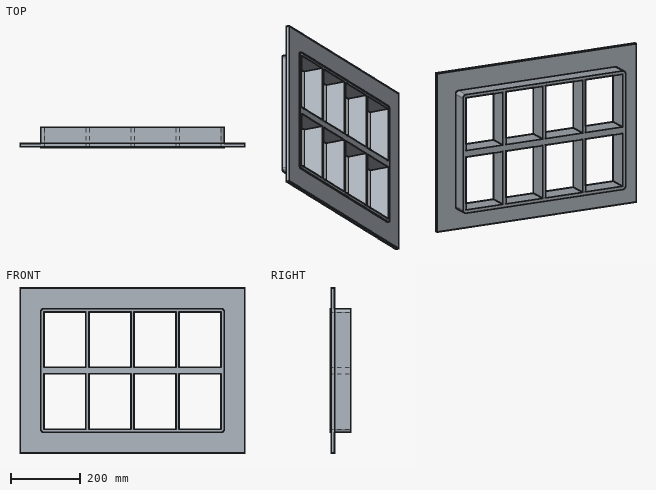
import cadquery as cq

flange_width = 652.0
flange_height = 479.0
flange_thickness = 10.0
flange_border = 60.0

frame_depth = 60.0
front_lip = 3.0
corner_radius = 10.0
wall = 10.0
upright_thickness = 10.0
crossbar_thickness = 20.0
columns = 4
rows = 2

frame_width = flange_width - 2 * flange_border
frame_height = flange_height - 2 * flange_border
window_width = (frame_width - 2 * wall - (columns - 1) * upright_thickness) / columns
window_height = (frame_height - 2 * wall - (rows - 1) * crossbar_thickness) / rows


def block(width, depth, height, front_y):
    """Box centred in X and Z whose front face lies at front_y."""
    return cq.Workplane("XY").box(width, depth, height).translate((0, front_y + depth / 2, 0))


def make_flange():
    return block(flange_width, flange_thickness, flange_height, 0)


def make_frame():
    body = block(frame_width, frame_depth, frame_height, -front_lip)
    return body.edges("|Y").fillet(corner_radius)


def make_windows():
    """Sharp-cornered openings that run through the full frame depth."""
    window = block(window_width, frame_depth, window_height, -front_lip)
    column_pitch = window_width + upright_thickness
    row_pitch = window_height + crossbar_thickness
    windows = cq.Workplane("XY")
    for column in range(columns):
        for row in range(rows):
            x = (column - (columns - 1) / 2) * column_pitch
            z = (row - (rows - 1) / 2) * row_pitch
            windows = windows.add(window.translate((x, 0, z)))
    return windows.combine()


result = make_flange().union(make_frame()).cut(make_windows())